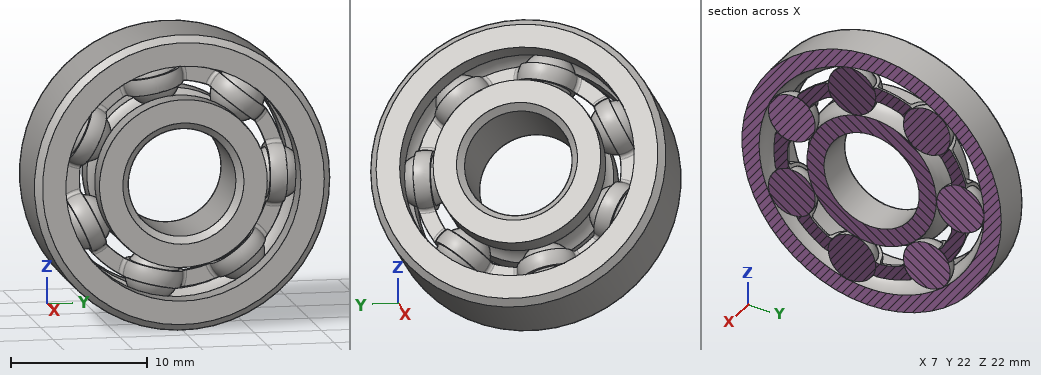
import cadquery as cq
import math


width = 7.0
outer_diameter = 22.0
outer_ring_bore = 17.5
inner_ring_diameter = 12.5
bore = 8.0
chamfer = 0.5

ball_count = 7
ball_diameter = 4.0
ball_radius = ball_diameter / 2
pitch_radius = (outer_ring_bore + inner_ring_diameter) / 4
ball_spacing = 2 * math.pi / ball_count

cage_outer_radius = 8.3
cage_inner_radius = 7.1
cage_half_thickness = 0.15
pocket_wall = 0.26
blend_radius = 0.3
pocket_radius = ball_radius + pocket_wall

blend_center_x = cage_half_thickness + blend_radius
blend_reach = math.sqrt((pocket_radius + blend_radius) ** 2 - blend_center_x**2)
blend_scale = pocket_radius / (pocket_radius + blend_radius)
pocket_half_width = blend_reach * blend_scale


def tube(outside, inside):
    """Ring of full bearing width, around the X axis."""
    blank = cq.Workplane("YZ").circle(outside / 2).circle(inside / 2).extrude(width)
    return blank.translate((-width / 2, 0, 0))


def raceway():
    """Torus swept by a ball rolling around the X axis."""
    return (
        cq.Workplane("XY")
        .center(0, pitch_radius)
        .circle(ball_radius)
        .revolve(360, (0, -pitch_radius), (1, -pitch_radius))
    )


def make_outer_ring():
    ring = tube(outer_diameter, outer_ring_bore)
    ring = ring.faces("<X or >X").edges(cq.selectors.RadiusNthSelector(-1)).chamfer(chamfer)
    return ring.cut(raceway())


def make_inner_ring():
    ring = tube(inner_ring_diameter, bore)
    ring = ring.faces("<X or >X").edges(cq.selectors.RadiusNthSelector(0)).chamfer(chamfer)
    return ring.cut(raceway())


def around_axis(shape, index):
    """Turn a shape at the first ball, on +Y, to the ball place with this index."""
    return shape.rotate((0, 0, 0), (1, 0, 0), math.degrees(index * ball_spacing))


def make_ball(index):
    ball = cq.Workplane("XY").sphere(ball_radius).translate((0, pitch_radius, 0))
    return around_axis(ball, index)


def pocket_ring_disc(radius):
    """Thick disc, cut straight across each pocket and round between pockets."""
    half_angle = math.asin(pocket_half_width / radius)

    def rim(angle):
        return (radius * math.cos(angle), radius * math.sin(angle))

    outline = cq.Workplane("YZ").moveTo(*rim(-half_angle))
    for index in range(ball_count):
        angle = index * ball_spacing
        outline = outline.lineTo(*rim(angle + half_angle))
        outline = outline.threePointArc(
            rim(angle + ball_spacing / 2), rim(angle + ball_spacing - half_angle)
        )
    return outline.close().extrude(width).translate((-width / 2, 0, 0))


def make_pocket_bulge(index):
    """Sphere around a ball that flares into the flat ring through the blend arcs."""
    sphere_touch = (blend_center_x * blend_scale, pocket_half_width)
    touch_angle = math.atan2(blend_reach, blend_center_x)
    mid_angle = touch_angle / 2
    blend_mid = (
        blend_center_x - blend_radius * math.cos(mid_angle),
        blend_reach - blend_radius * math.sin(mid_angle),
    )
    sphere_mid = (
        pocket_radius * math.cos(mid_angle),
        pocket_radius * math.sin(mid_angle),
    )
    half = (
        cq.Workplane("XY")
        .lineTo(pocket_radius, 0)
        .threePointArc(sphere_mid, sphere_touch)
        .threePointArc(blend_mid, (cage_half_thickness, blend_reach))
        .lineTo(0, blend_reach)
        .close()
        .revolve(360, (0, 0), (1, 0))
    )
    bulge = half.union(half.mirror("YZ")).translate((0, pitch_radius, 0))
    return around_axis(bulge, index)


def make_cage(balls):
    cage = cq.Workplane("YZ").circle(cage_outer_radius).extrude(2 * cage_half_thickness)
    cage = cage.translate((-cage_half_thickness, 0, 0))
    for index in range(ball_count):
        cage = cage.union(make_pocket_bulge(index))
    cage = cage.intersect(pocket_ring_disc(cage_outer_radius))
    cage = cage.cut(pocket_ring_disc(cage_inner_radius))
    for ball in balls:
        cage = cage.cut(ball)
    return cage


outer_ring = make_outer_ring()
inner_ring = make_inner_ring()
balls = [make_ball(index) for index in range(ball_count)]
cage = make_cage(balls)

result = cq.Compound.makeCompound(
    [outer_ring.val(), inner_ring.val(), *cage.solids().vals(), *[ball.val() for ball in balls]]
)